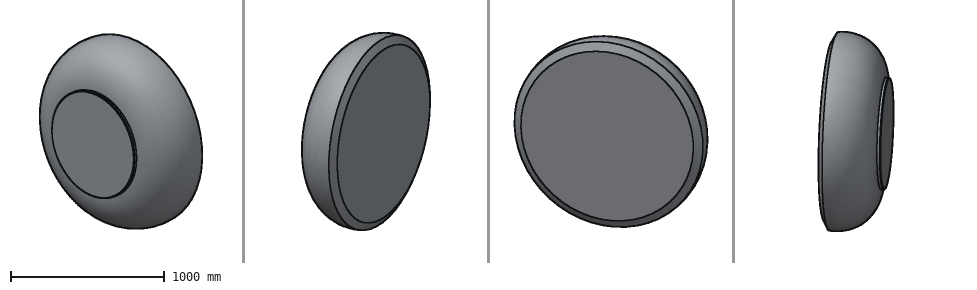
import cadquery as cq
import math

outer_radius = 650.0
total_depth = 380.0
disc_radius = 365.0
disc_height = 23.0
disc_edge_chamfer = 5.0
back_radius = 591.0
back_bevel_depth = 31.0

round_radius = outer_radius - disc_radius

disc_face_y = -total_depth / 2
shoulder_y = disc_face_y + disc_height
widest_y = shoulder_y + round_radius
back_y = total_depth / 2
bevel_y = back_y - back_bevel_depth


def round_point(angle):
    """Point (Y, radius) on the rounded side; angle is measured from the widest point."""
    return (
        widest_y + round_radius * math.sin(angle),
        disc_radius + round_radius * math.cos(angle),
    )


bevel_angle = math.asin((bevel_y - widest_y) / round_radius)
shoulder_angle = -math.pi / 2
middle_angle = (shoulder_angle + bevel_angle) / 2

half_section = (
    cq.Workplane("YZ")
    .moveTo(disc_face_y, 0)
    .lineTo(disc_face_y, disc_radius - disc_edge_chamfer)
    .lineTo(disc_face_y + disc_edge_chamfer, disc_radius)
    .lineTo(shoulder_y, disc_radius)
    .threePointArc(round_point(middle_angle), round_point(bevel_angle))
    .lineTo(back_y, back_radius)
    .lineTo(back_y, 0)
    .close()
)

result = half_section.revolve(360, (0, 0, 0), (1, 0, 0))